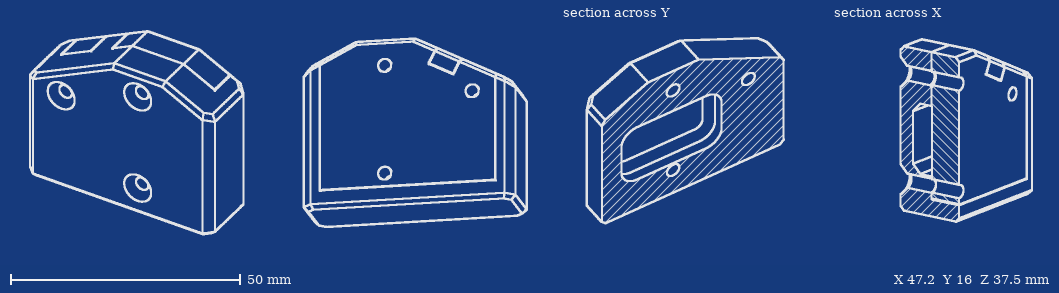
import cadquery as cq
import math

LENGTH = 47.2
DEPTH = 16.0
HEIGHT = 37.5

TOP_START_X = 22.15
TOP_END_X = 35.2
SLOPE = 0.5
SLOPE_ANGLE = math.degrees(math.atan(SLOPE))
CORNER_CHAMFER = 2.0
RIM_CHAMFER = 1.0

WALL = 3.95
RECESS_FLOOR_Y = 8.55
CLEARANCE = 0.15
RIB_CENTRE_X = 14.35
RIB_WIDTH = 5.95
RIB_DEPTH = WALL

POCKET_LEFT_X = 16.2
POCKET_RIGHT_X = 42.0
POCKET_BOTTOM_Z = 9.2
POCKET_TOP_Z = 25.1
POCKET_FLOOR_Y = 3.5
POCKET_CORNER_RADIUS = 4.0
POCKET_FLOOR_CHAMFER = 2.0

UPPER_HOLES = [(9.2, 24.55), (28.7, 31.5)]
LOWER_HOLE = (28.7, 7.05)
SINK_DIAMETER = 6.9
HOUSING_BORE = 3.1
UPPER_BORE = 3.2
RELIEF_DIAMETER = 4.1
COVER_BORE = 2.95


def cone_45(point, start_y, wide_diameter, narrow_diameter, direction):
    """45 degree cone, widest at start_y and narrowing along +Y (1) or -Y (-1)."""
    x, z = point
    wide = wide_diameter / 2
    narrow = narrow_diameter / 2
    centre = cq.Vector(x, start_y, z)
    axis = cq.Vector(0, direction, 0)
    return cq.Workplane(cq.Solid.makeCone(wide, narrow, wide - narrow, centre, axis))


def bore(point, diameter, start_y, end_y):
    """Cylinder along Y between two depths."""
    x, z = point
    centre = cq.Vector(x, start_y, z)
    axis = cq.Vector(0, 1, 0)
    return cq.Workplane(cq.Solid.makeCylinder(diameter / 2, end_y - start_y, centre, axis))


def make_envelope():
    """Common chamfered outside of the housing and the cover."""
    left_height = HEIGHT - SLOPE * TOP_START_X
    right_height = HEIGHT - SLOPE * (LENGTH - TOP_END_X)
    profile = [
        (0, 0),
        (LENGTH, 0),
        (LENGTH, right_height),
        (TOP_END_X, HEIGHT),
        (TOP_START_X, HEIGHT),
        (0, left_height),
    ]
    block = cq.Workplane("XZ").polyline(profile).close().extrude(-DEPTH)
    block = block.edges("|Z").chamfer(CORNER_CHAMFER)
    rims = block.faces("<Z or >Z or >(-1,0,2) or >(1,0,2)").edges("not (|Y and >Z)")
    return rims.chamfer(RIM_CHAMFER)


def cover_space(gap):
    """Room for the cover, shrunk by a gap; it leaves out the rib that hangs from the left slope."""
    side = WALL + gap
    space = (
        cq.Workplane("XY")
        .box(LENGTH - 2 * side, DEPTH, HEIGHT, centered=False)
        .translate((side, RECESS_FLOOR_Y, side))
    )

    rib_top_z = HEIGHT - SLOPE * (TOP_START_X - RIB_CENTRE_X)
    rib_depth = RIB_DEPTH + gap
    rib = (
        cq.Workplane("XY")
        .box(RIB_WIDTH + 2 * gap, 2 * DEPTH, 2 * rib_depth)
        .rotate((0, 0, 0), (0, 1, 0), -SLOPE_ANGLE)
        .translate((RIB_CENTRE_X, DEPTH, rib_top_z))
    )
    return space.cut(rib)


def pocket_space():
    """Rounded pocket in front of the recess, with a chamfer around its floor."""
    width = POCKET_RIGHT_X - POCKET_LEFT_X
    height = POCKET_TOP_Z - POCKET_BOTTOM_Z
    depth = RECESS_FLOOR_Y - POCKET_FLOOR_Y
    return (
        cq.Workplane("XY")
        .box(width, depth, height, centered=False)
        .edges("|Y")
        .fillet(POCKET_CORNER_RADIUS)
        .faces("<Y")
        .edges()
        .chamfer(POCKET_FLOOR_CHAMFER)
        .translate((POCKET_LEFT_X, POCKET_FLOOR_Y, POCKET_BOTTOM_Z))
    )


def make_housing(envelope):
    """Front body: the envelope less the recess, the pocket and the countersunk screw holes."""
    housing = envelope.cut(cover_space(0)).cut(pocket_space())
    for point in UPPER_HOLES:
        housing = housing.cut(bore(point, UPPER_BORE, 0, RECESS_FLOOR_Y))
        housing = housing.cut(cone_45(point, 0, SINK_DIAMETER, UPPER_BORE, 1))
        housing = housing.cut(cone_45(point, RECESS_FLOOR_Y, RELIEF_DIAMETER, UPPER_BORE, -1))
    housing = housing.cut(bore(LOWER_HOLE, HOUSING_BORE, 0, RECESS_FLOOR_Y))
    return housing.cut(cone_45(LOWER_HOLE, 0, SINK_DIAMETER, HOUSING_BORE, 1))


def make_cover(envelope):
    """Rear body: fills the recess and reaches the outside on both sides of the rib."""
    cover = envelope.intersect(cover_space(CLEARANCE))
    for point in [*UPPER_HOLES, LOWER_HOLE]:
        cover = cover.cut(bore(point, COVER_BORE, RECESS_FLOOR_Y, DEPTH))
    return cover


envelope = make_envelope()
housing = make_housing(envelope)
cover = make_cover(envelope)

result = cq.Compound.makeCompound([*housing.vals(), *cover.vals()])